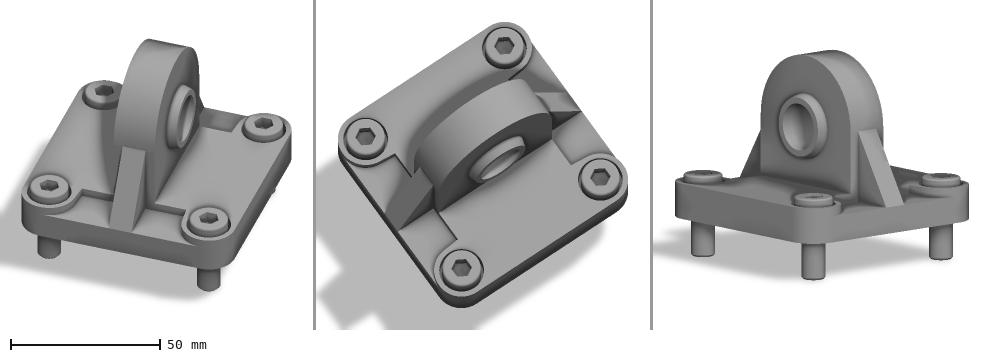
import cadquery as cq
import math

base_size = 75.0
base_height = 12.0
base_corner_radius = 9.0
step_floor = 9.0

lug_width = 14.5
lug_radius = 23.0
lug_top = 56.0
lug_axis_z = lug_top - lug_radius
rib_width = 8.0
bearing_axis_z = 32.0
bearing_length = 21.0
bearing_bore = 16.0
bearing_end_diameter = 20.0
bearing_crown_diameter = 24.0

screw_offset = 28.3
shank_diameter = 8.0
shank_end_z = -13.5
shank_chamfer = 0.7
head_diameter = 13.0
head_top = 14.55
head_height = 8.0
head_rounding = 0.75
seat_z = head_top - head_height
counterbore_diameter = 15.0
socket_across_flats = 6.0
socket_depth = 4.0
socket_cone_height = 2.0

pad_radius = base_size / 2 - screw_offset
pad_inner_x = 18.5


def make_base():
    plate = cq.Workplane("XY").box(base_size, base_size, base_height, centered=(True, True, False))
    return plate.edges("|Z").fillet(base_corner_radius)


def make_step(side):
    """Lowered area between two corner pads, on the +Y (side = 1) or -Y (side = -1) edge."""
    edge_y = base_size / 2
    to_corner_x = screw_offset - pad_inner_x
    to_corner_y = screw_offset - lug_radius
    distance = math.hypot(to_corner_x, to_corner_y)
    tangent_angle = math.atan2(to_corner_y, to_corner_x) - math.acos(pad_radius / distance)
    tangent_x = screw_offset - pad_radius * math.cos(tangent_angle)
    tangent_y = screw_offset - pad_radius * math.sin(tangent_angle)
    middle_x = screw_offset - pad_radius * math.cos(math.pi / 4)
    middle_y = screw_offset + pad_radius * math.sin(math.pi / 4)
    return (
        cq.Workplane("XY", origin=(0, 0, step_floor))
        .moveTo(-pad_inner_x, side * lug_radius)
        .lineTo(pad_inner_x, side * lug_radius)
        .lineTo(tangent_x, side * tangent_y)
        .threePointArc((middle_x, side * middle_y), (screw_offset, side * edge_y))
        .lineTo(-screw_offset, side * edge_y)
        .threePointArc((-middle_x, side * middle_y), (-tangent_x, side * tangent_y))
        .close()
        .extrude(base_height - step_floor)
    )


def make_lug():
    return (
        cq.Workplane("YZ", origin=(-lug_width / 2, 0, 0))
        .moveTo(-lug_radius, step_floor)
        .lineTo(lug_radius, step_floor)
        .lineTo(lug_radius, lug_axis_z)
        .threePointArc((0, lug_top), (-lug_radius, lug_axis_z))
        .close()
        .extrude(lug_width)
    )


def make_ribs():
    """One slab that stands out of the lug as a sloping rib on both sides."""
    half_base = base_size / 2
    return (
        cq.Workplane("YZ", origin=(-rib_width / 2, 0, 0))
        .polyline([
            (-half_base, step_floor),
            (half_base, step_floor),
            (lug_radius, lug_axis_z),
            (-lug_radius, lug_axis_z),
        ])
        .close()
        .extrude(rib_width)
    )


def make_bearing():
    """Barrel-shaped bush along X that stands out of both lug faces."""
    end_x = bearing_length / 2
    end_radius = bearing_end_diameter / 2
    return (
        cq.Workplane("XY", origin=(0, 0, bearing_axis_z))
        .moveTo(-end_x, 0)
        .lineTo(-end_x, end_radius)
        .threePointArc((0, bearing_crown_diameter / 2), (end_x, end_radius))
        .lineTo(end_x, 0)
        .close()
        .revolve(360, (0, 0, 0), (1, 0, 0))
    )


def make_screw():
    """Socket head screw on the Z axis."""
    head = (
        cq.Workplane("XY", origin=(0, 0, seat_z))
        .circle(head_diameter / 2)
        .extrude(head_height)
        .faces(">Z").edges().fillet(head_rounding)
    )
    shank = (
        cq.Workplane("XY", origin=(0, 0, shank_end_z))
        .circle(shank_diameter / 2)
        .extrude(seat_z - shank_end_z)
        .faces("<Z").edges().chamfer(shank_chamfer)
    )
    across_corners = socket_across_flats / math.cos(math.pi / 6)
    rim_z = head_top - socket_depth
    tip_z = rim_z - socket_cone_height
    drilled_hole = (
        cq.Workplane("XZ")
        .polyline([(0, tip_z), (across_corners / 2, rim_z), (across_corners / 2, head_top), (0, head_top)])
        .close()
        .revolve(360, (0, 0, 0), (0, 1, 0))
    )
    socket = (
        cq.Workplane("XY", origin=(0, 0, tip_z))
        .polygon(6, across_corners)
        .extrude(head_top - tip_z)
        .intersect(drilled_hole)
    )
    return head.union(shank).cut(socket)


def make_bore():
    return (
        cq.Workplane("YZ", origin=(-bearing_length / 2, 0, bearing_axis_z))
        .circle(bearing_bore / 2)
        .extrude(bearing_length)
    )


def make_counterbore():
    return (
        cq.Workplane("XY", origin=(0, 0, seat_z))
        .circle(counterbore_diameter / 2)
        .extrude(base_height - seat_z)
    )


result = make_base()
for side in (1, -1):
    result = result.cut(make_step(side))
result = result.union(make_lug()).union(make_ribs()).union(make_bearing()).cut(make_bore())

counterbore = make_counterbore()
screw = make_screw()
for x in (-screw_offset, screw_offset):
    for y in (-screw_offset, screw_offset):
        result = result.cut(counterbore.translate((x, y, 0)))
        result = result.union(screw.translate((x, y, 0)))